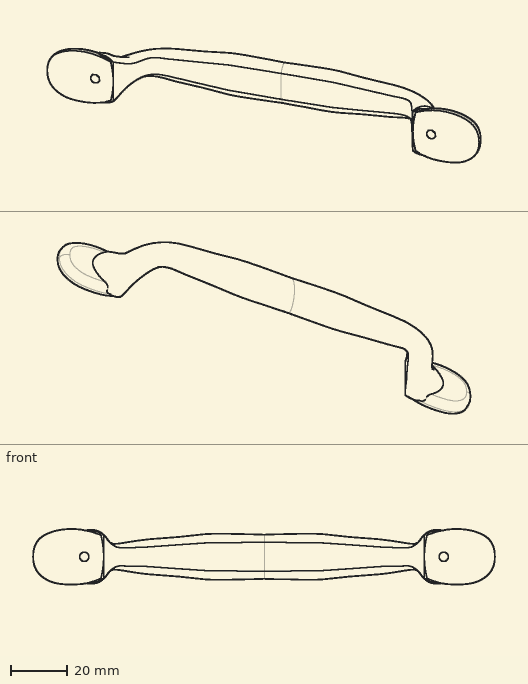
import cadquery as cq
import math

length = 165.0
grip_outer = 24.5
grip_inner = 17.8
end_x = length / 2

foot_width = 20.0
foot_height = 4.1
foot_center_x = 68.5
foot_edge_radius = 2.8
shoulder_x = 78.3
shoulder_half_width = 7.8
heel_x = 57.2
heel_corner_x = 58.2
heel_half_width = 7.8

hole_x = 64.2
hole_diameter = 3.3
hole_depth = 5.0

widest_share = 0.47

grip_sections = [
    (0.0, 7.9, 5.1),
    (5.0, 8.0, 5.1),
    (13.2, 8.2, 5.1),
    (21.5, 8.0, 5.0),
    (30.5, 7.1, 4.3),
    (41.2, 6.3, 3.5),
]

toe_sink = 0.2

leg_sections = [
    ((47.0, 17.6), (50.0, 23.8), 5.3, 3.3),
    ((49.6, 16.3), (55.7, 21.3), 4.6, 3.3),
    ((51.8, 12.9), (60.5, 15.2), 4.6, 3.3),
    ((53.3, 9.2), (62.5, 10.5), 5.3, 3.8),
    ((55.3, 4.8), (65.6, 7.0), 7.3, 5.5),
    ((heel_x, 0.0), (73.2, foot_height - toe_sink), 8.9, heel_half_width),
]


def handle_section(inner, outer, half_width, flat_half_width):
    """Flat-bottomed domed wire standing from the inner point to the outer point."""
    run = outer[0] - inner[0]
    rise = outer[1] - inner[1]
    thickness = math.hypot(run, rise)
    plane = cq.Plane(
        origin=(inner[0], inner[1], 0),
        xDir=(0, 0, 1),
        normal=(-rise, run, 0),
    )
    widest = widest_share * thickness
    return (
        cq.Workplane(plane)
        .moveTo(-flat_half_width, 0)
        .lineTo(flat_half_width, 0)
        .spline(
            [(half_width, widest), (0, thickness), (-half_width, widest), (-flat_half_width, 0)],
            includeCurrent=True,
        )
        .close()
        .val()
    )


def half_handle():
    """Grip from the middle outward, bent down into the flared leg."""
    wires = []
    for x, half_width, flat_half_width in grip_sections:
        wires.append(handle_section((x, grip_inner), (x, grip_outer), half_width, flat_half_width))
    for section in leg_sections:
        wires.append(handle_section(*section))
    return cq.Workplane(cq.Solid.makeLoft(wires))


def foot_plate():
    """Oval plate on the mounting face with its free upper edge rounded."""
    half_width = foot_width / 2
    upper_side = [
        (heel_corner_x, heel_half_width),
        (foot_center_x, half_width),
        (shoulder_x, shoulder_half_width),
        (end_x, 0),
    ]
    upper_tangents = [None, (1, 0), None, (0, -1)]
    lower_side = [(x, -z) for x, z in reversed(upper_side)]
    lower_tangents = [(0, -1), None, (-1, 0), None]
    plate = (
        cq.Workplane("XZ")
        .moveTo(*upper_side[0])
        .spline(upper_side[1:], tangents=upper_tangents, includeCurrent=True)
        .spline(lower_side[1:], tangents=lower_tangents, includeCurrent=True)
        .threePointArc((heel_x, 0), upper_side[0])
        .close()
        .extrude(-foot_height)
    )
    return plate.faces(">Y").edges("not(<X)").fillet(foot_edge_radius)


def screw_hole():
    return (
        cq.Workplane("XZ")
        .center(hole_x, 0)
        .circle(hole_diameter / 2)
        .extrude(-hole_depth)
    )


half = half_handle().union(foot_plate()).cut(screw_hole())
result = half.union(half.mirror("YZ"))